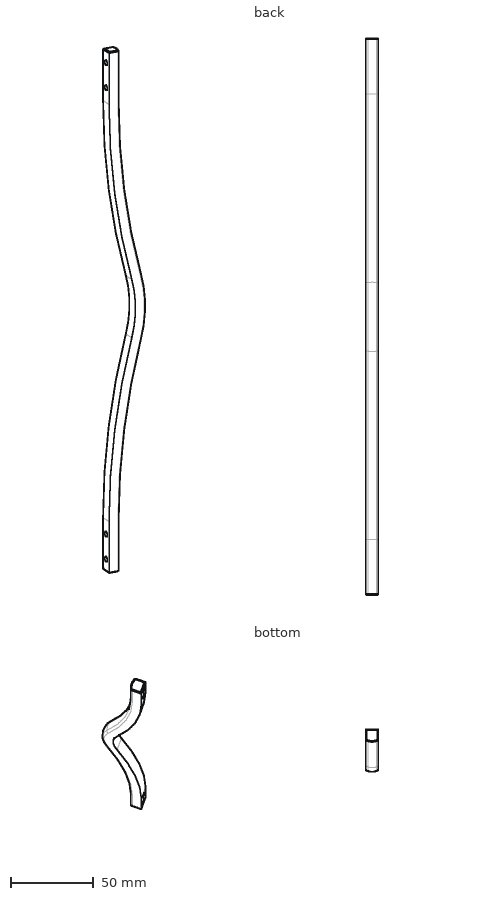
import cadquery as cq
import math

length = 337.0
width = 7.8
thickness = 7.8
depth = 26.0
crown_height = 0.5
back_round = 1.5
tip_chamfer = 0.7

end_length = 33.7
bow_half_height = 19.0

hole_diameter = 3.25
hole_distances = (8.0, 24.3)
hole_depth = 4.7
drill_point_angle = 118

half_length = length / 2
front_y = -depth / 2
bend_start = half_length - end_length
rise = depth - thickness

turn = 2 * math.atan(rise / bend_start)
long_radius = (bend_start - bow_half_height) / math.sin(turn)
bow_y = front_y + rise


def long_arc_point(angle):
    """Y and Z on the upper long arc after turning by the given angle."""
    y = front_y + long_radius * (1 - math.cos(angle))
    z = bend_start - long_radius * math.sin(angle)
    return y, z


def mirrored(point):
    """The same point below the middle of the bar."""
    return point[0], -point[1]


def front_path():
    """Line followed by the front face, from the top tip to the bottom tip."""
    arc_middle = long_arc_point(turn / 2)
    arc_end = long_arc_point(turn)
    return (
        cq.Workplane("YZ")
        .moveTo(front_y, half_length)
        .lineTo(front_y, bend_start)
        .threePointArc(arc_middle, arc_end)
        .threePointArc((bow_y, 0), mirrored(arc_end))
        .threePointArc(mirrored(arc_middle), (front_y, -bend_start))
        .lineTo(front_y, -half_length)
    )


def bar():
    """Section with a crowned back and rounded back corners, swept along the path."""
    half_width = width / 2
    back_y = front_y + thickness
    shoulder_y = back_y - crown_height
    flank_y = shoulder_y - back_round
    crown_x = half_width - back_round
    corner_inset = back_round * (1 - math.sqrt(0.5))
    corner_x = half_width - corner_inset
    corner_y = shoulder_y - corner_inset
    section = (
        cq.Workplane("XY", origin=(0, 0, half_length))
        .moveTo(-half_width, front_y)
        .lineTo(half_width, front_y)
        .lineTo(half_width, flank_y)
        .threePointArc((corner_x, corner_y), (crown_x, shoulder_y))
        .threePointArc((0, back_y), (-crown_x, shoulder_y))
        .threePointArc((-corner_x, corner_y), (-half_width, flank_y))
        .close()
    )
    swept = section.sweep(front_path())
    return swept.faces("<Z or >Z").edges().chamfer(tip_chamfer)


def drilled_hole(z):
    """Blind hole into the front face at height z, with a conical bottom."""
    radius = hole_diameter / 2
    point_depth = radius / math.tan(math.radians(drill_point_angle / 2))
    cone_start = front_y + hole_depth
    return (
        cq.Workplane("YZ")
        .moveTo(front_y, z)
        .lineTo(front_y, z + radius)
        .lineTo(cone_start, z + radius)
        .lineTo(cone_start + point_depth, z)
        .close()
        .revolve(360, (front_y, z, 0), (cone_start, z, 0))
    )


result = bar()
for end in (1, -1):
    for distance in hole_distances:
        result = result.cut(drilled_hole(end * (half_length - distance)))